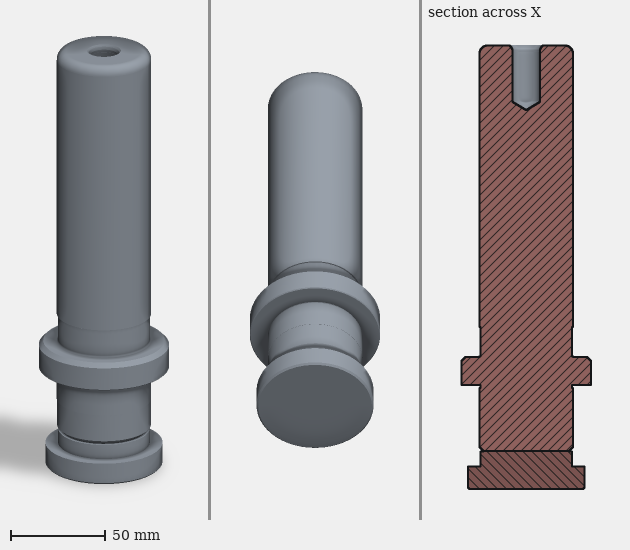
import cadquery as cq
import math

total_height = 235.0
disc_top = 12.0
pillar_bottom = 20.0
fit_step = 37.1
flange_bottom = 55.0
flange_top = 70.0
guide_bottom = 85.5

guide_radius = 50.0 / 2
neck_radius = 48.6 / 2
lower_fit_radius = 49.8 / 2
flange_radius = 34.5
disc_radius = 31.0

nose_fillet = 5.0
flange_top_chamfer = 2.4
flange_bottom_chamfer = 0.5
root_fillet = 1.0
undercut_height = 1.5
foot_chamfer = 2.4
disc_chamfer = 1.0

hole_mouth_radius = 9.0
hole_throat_radius = 8.0
hole_recess_radius = 7.3
hole_radius = 7.0
hole_throat_depth = 1.0
hole_recess_depth = 2.4
hole_ledge_depth = 3.8
hole_depth = 30.0
drill_point_angle = 118.0


def cylinder(radius, bottom, top):
    """Cylinder on the Z axis between two levels."""
    return cq.Workplane("XY").workplane(offset=bottom).circle(radius).extrude(top - bottom)


def make_flange():
    """Collar with a large upper chamfer and a small lower one."""
    collar = cylinder(flange_radius, flange_bottom, flange_top)
    collar = collar.faces(">Z").chamfer(flange_top_chamfer)
    return collar.faces("<Z").chamfer(flange_bottom_chamfer)


def make_centre_hole():
    """Drilled hole with a two-angle countersink, a short recess and a conical bottom."""
    point_depth = hole_radius / math.tan(math.radians(drill_point_angle / 2))
    straight_end = total_height - hole_depth
    return (
        cq.Workplane("XZ")
        .moveTo(0, total_height)
        .lineTo(hole_mouth_radius, total_height)
        .lineTo(hole_throat_radius, total_height - hole_throat_depth)
        .lineTo(hole_recess_radius, total_height - hole_recess_depth)
        .lineTo(hole_recess_radius, total_height - hole_ledge_depth)
        .lineTo(hole_radius, total_height - hole_ledge_depth)
        .lineTo(hole_radius, straight_end)
        .lineTo(0, straight_end - point_depth)
        .close()
        .revolve(360, (0, 0, 0), (0, 1, 0))
    )


def make_pillar():
    """Flanged guide pillar with a round nose and a stepped fitting end."""
    undercut_bottom = flange_bottom - undercut_height
    foot = cylinder(lower_fit_radius, pillar_bottom, fit_step).faces("<Z").chamfer(foot_chamfer)
    fit = cylinder(guide_radius, fit_step, undercut_bottom)
    undercut = cylinder(neck_radius, undercut_bottom, flange_bottom)
    neck = cylinder(neck_radius, flange_top, guide_bottom)
    guide = cylinder(guide_radius, guide_bottom, total_height).faces(">Z").edges().fillet(nose_fillet)

    body = foot.union(fit).union(undercut).union(make_flange()).union(neck)
    root = cq.selectors.BoxSelector(
        (-neck_radius - root_fillet, -neck_radius - root_fillet, flange_top - root_fillet),
        (neck_radius + root_fillet, neck_radius + root_fillet, flange_top + root_fillet),
        boundingbox=True,
    )
    body = body.edges(root).edges("%CIRCLE").fillet(root_fillet)
    return body.union(guide).cut(make_centre_hole())


def make_retainer():
    """End disc with a raised hub that seats against the foot of the pillar."""
    disc = cylinder(disc_radius, 0, disc_top).faces("<Z").chamfer(disc_chamfer)
    hub = cylinder(neck_radius, disc_top, pillar_bottom)
    return disc.union(hub)


pillar = make_pillar()
retainer = make_retainer()

result = cq.Compound.makeCompound([pillar.val(), retainer.val()])